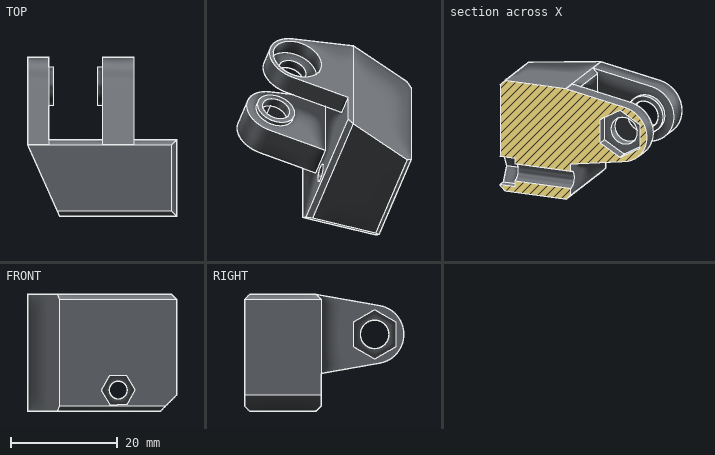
import cadquery as cq
import math

block_width = 28.0
block_depth = 14.4
block_height = 22.0
edge_chamfer = 1.0
corner_chamfer = 3.1
slant_width = 6.0

pivot_offset = 10.0
pivot_y = block_depth + pivot_offset
pivot_z = 14.44
arm_radius = 5.5
arm_taper = 10.0
arm_root_y = block_depth - edge_chamfer
left_arm_x = (0.0, 4.0)
right_arm_x = (14.0, 20.0)

boss_diameter = 7.3
boss_length = 0.9
pivot_hole_diameter = 5.3
pivot_hole_length = 1.9
head_recess_diameter = 9.5
pivot_nut_flats = 8.0

screw_x = 17.0
screw_z = 4.0
screw_hole_diameter = 3.3
screw_nut_flats = 5.5
screw_nut_depth = 3.0
screw_nut_turn = 1.0

hex_sides = 6
hex_half_angle = 180 / hex_sides


def corner_diameter(flats):
    """Across-corners size of a hexagon from its across-flats size."""
    return flats / math.cos(math.radians(hex_half_angle))


def corner_cutter(axis_plane, corner, legs, length):
    """Triangular prism that removes a square corner; legs point into the material."""
    a, b = corner
    return (
        cq.Workplane(axis_plane)
        .polyline([(a, b), (a + legs[0], b), (a, b + legs[1])])
        .close()
        .extrude(length)
    )


def make_block():
    block = (
        cq.Workplane("XY")
        .polyline([
            (slant_width, 0),
            (block_width, 0),
            (block_width, block_depth),
            (0, block_depth),
            (0, arm_root_y),
        ])
        .close()
        .extrude(block_height)
    )
    for y, y_leg in ((0, edge_chamfer), (block_depth, -edge_chamfer)):
        for z, z_leg in ((0, edge_chamfer), (block_height, -edge_chamfer)):
            block = block.cut(corner_cutter("YZ", (y, z), (y_leg, z_leg), block_width))
    for z, x_leg, z_leg in (
        (block_height, -edge_chamfer, -edge_chamfer),
        (0, -corner_chamfer, corner_chamfer),
    ):
        block = block.cut(corner_cutter("XZ", (block_width, z), (x_leg, z_leg), -block_depth))
    return block


def make_arm(x_range):
    """Tapered arm whose flanks run tangent into a round end about the pivot."""
    taper = math.radians(arm_taper)
    tangent_y = pivot_y + arm_radius * math.sin(taper)
    tangent_rise = arm_radius * math.cos(taper)
    root_rise = tangent_rise + (tangent_y - arm_root_y) * math.tan(taper)
    return (
        cq.Workplane("YZ", origin=(x_range[0], 0, 0))
        .moveTo(arm_root_y, pivot_z - root_rise)
        .lineTo(tangent_y, pivot_z - tangent_rise)
        .threePointArc((pivot_y + arm_radius, pivot_z), (tangent_y, pivot_z + tangent_rise))
        .lineTo(arm_root_y, pivot_z + root_rise)
        .close()
        .extrude(x_range[1] - x_range[0])
    )


def pivot_plane(x):
    """Sketch plane across the pivot axis, facing +X."""
    return cq.Workplane("YZ", origin=(x, pivot_y, pivot_z))


def make_pivot_boss(x):
    return pivot_plane(x).circle(boss_diameter / 2).extrude(boss_length)


def cut_pivot_bores(body):
    hole = pivot_plane(0).circle(pivot_hole_diameter / 2).extrude(right_arm_x[1])
    head_recess_depth = left_arm_x[1] + boss_length - pivot_hole_length
    head_recess = pivot_plane(0).circle(head_recess_diameter / 2).extrude(head_recess_depth)
    nut_floor_x = right_arm_x[0] - boss_length + pivot_hole_length
    nut_pocket = (
        pivot_plane(nut_floor_x)
        .transformed(rotate=(0, 0, hex_half_angle))
        .polygon(hex_sides, corner_diameter(pivot_nut_flats))
        .extrude(right_arm_x[1] - nut_floor_x)
    )
    return body.cut(hole).cut(head_recess).cut(nut_pocket)


def cut_clamp_screw(body):
    front = cq.Workplane("XZ", origin=(screw_x, 0, screw_z))
    hole = front.circle(screw_hole_diameter / 2).extrude(-block_depth)
    nut_pocket = (
        front.transformed(rotate=(0, 0, screw_nut_turn))
        .polygon(hex_sides, corner_diameter(screw_nut_flats))
        .extrude(-screw_nut_depth)
    )
    return body.cut(hole).cut(nut_pocket)


body = make_block()
for arm_x in (left_arm_x, right_arm_x):
    body = body.union(make_arm(arm_x))
for boss_x in (left_arm_x[1], right_arm_x[0] - boss_length):
    body = body.union(make_pivot_boss(boss_x))
body = cut_pivot_bores(body)
result = cut_clamp_screw(body)